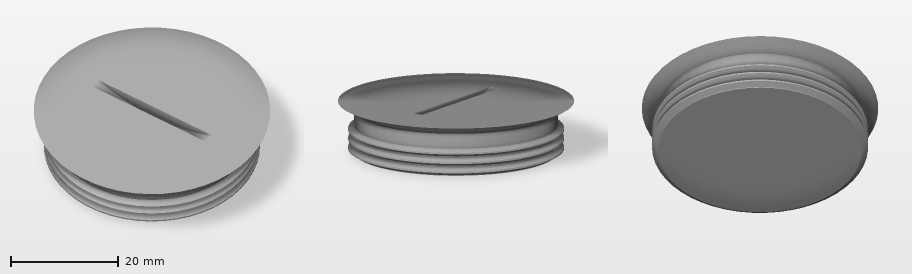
import cadquery as cq

flange_diameter = 44.05
height = 9.77
body_diameter = 37.95

flange_height = 1.7

ring_count = 3
ring_pitch = 1.8
ring_diameter = 40.25
ring_root_width = 1.5
ring_crest_width = 0.3
lowest_ring_center = 0.9

slot_length = 25.4
slot_width = 2.03
slot_depth = 2.7


def make_body():
    """Cylindrical body carrying a flange that tapers out to a sharp rim."""
    body_radius = body_diameter / 2
    return (
        cq.Workplane("XZ")
        .lineTo(body_radius, 0)
        .lineTo(body_radius, height - flange_height)
        .lineTo(flange_diameter / 2, height)
        .lineTo(0, height)
        .close()
        .revolve(360, (0, 0), (0, 1))
    )


def make_ring(center_z):
    """Disc with a trapezoidal rim centred at the given height."""
    body_radius = body_diameter / 2
    ring_radius = ring_diameter / 2
    return (
        cq.Workplane("XZ")
        .moveTo(0, center_z - ring_root_width / 2)
        .lineTo(body_radius, center_z - ring_root_width / 2)
        .lineTo(ring_radius, center_z - ring_crest_width / 2)
        .lineTo(ring_radius, center_z + ring_crest_width / 2)
        .lineTo(body_radius, center_z + ring_root_width / 2)
        .lineTo(0, center_z + ring_root_width / 2)
        .close()
        .revolve(360, (0, 0), (0, 1))
    )


def make_slot():
    """Cutter for the coin slot: a circular segment below the top face."""
    half_length = slot_length / 2
    return (
        cq.Workplane("XZ")
        .moveTo(-half_length, height)
        .threePointArc((0, height - slot_depth), (half_length, height))
        .close()
        .extrude(slot_width / 2, both=True)
    )


result = make_body()
for ring_index in range(ring_count):
    result = result.union(make_ring(lowest_ring_center + ring_index * ring_pitch))
result = result.cut(make_slot())